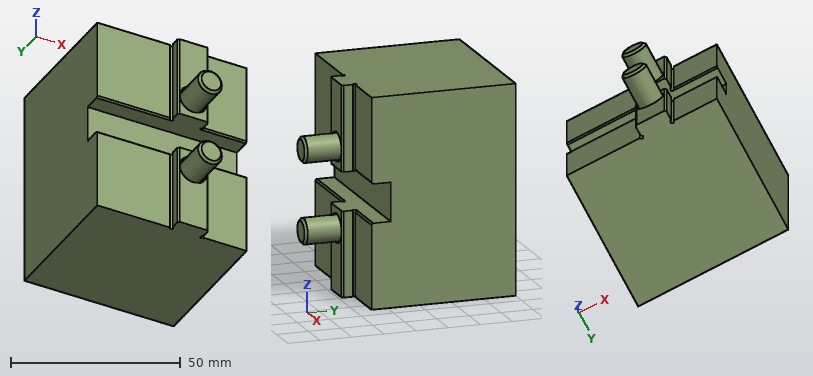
import cadquery as cq

block_width = 50.0
block_height = 65.0
block_depth = 45.0
edge_chamfer = 0.5

key_x = 5.0
key_width = 10.2
key_height = 3.95
groove_radius = 0.5

slot_width = 12.0
slot_depth = 6.0

pin_diameter = 8.0
clearance_diameter = 9.0
pin_spacing = 24.95
pin_protrusion = 11.05
pin_tip_chamfer = 0.8
hole_depth = key_height + slot_depth

key_face_y = -key_height
hole_floor_y = key_face_y + hole_depth
pin_tip_y = key_face_y - pin_protrusion
pin_heights = [-pin_spacing / 2, pin_spacing / 2]


def make_blank():
    """Block with its key, before the slot and pin holes are cut."""
    base = cq.Workplane("XY").box(block_width, block_depth, block_height).translate((0, block_depth / 2, 0))
    key = cq.Workplane("XY").box(key_width, key_height, block_height).edges("|Z and <Y").chamfer(edge_chamfer)
    return base.union(key.translate((key_x, -key_height / 2, 0)))


def make_root_grooves():
    """Cutters for the round grooves along both root corners of the key."""
    corners = [(key_x - key_width / 2, 0), (key_x + key_width / 2, 0)]
    return cq.Workplane("XY").pushPoints(corners).circle(groove_radius).extrude(block_height / 2, both=True)


def make_slot():
    """Cutter for the slot through the key."""
    length = key_height + slot_depth
    center_y = (slot_depth - key_height) / 2
    return cq.Workplane("XY").box(block_width, length, slot_width).translate((0, center_y, 0))


def make_slot_chamfers():
    """Cutters for the slot's chamfered edges on the pads either side of the key."""
    half_slot = slot_width / 2
    bevel = [
        (0, -half_slot - edge_chamfer),
        (edge_chamfer, -half_slot),
        (edge_chamfer, half_slot),
        (0, half_slot + edge_chamfer),
    ]
    left_start = -block_width / 2
    left_length = key_x - key_width / 2 - left_start
    right_start = key_x + key_width / 2
    right_length = block_width / 2 - right_start
    left = cq.Workplane("YZ", origin=(left_start, 0, 0)).polyline(bevel).close().extrude(left_length)
    right = cq.Workplane("YZ", origin=(right_start, 0, 0)).polyline(bevel).close().extrude(right_length)
    return left.union(right)


def make_cylinder(diameter, start_y, end_y, z):
    """Cylinder along -Y from start_y to end_y on a pin axis."""
    base = cq.Workplane("XZ", origin=(key_x, start_y, z))
    return base.circle(diameter / 2).extrude(start_y - end_y)


def make_block():
    """Keyed block with its grooves, slot and pin holes."""
    block = make_blank().cut(make_root_grooves()).cut(make_slot()).cut(make_slot_chamfers())
    for z in pin_heights:
        block = block.cut(make_cylinder(clearance_diameter, hole_floor_y, key_face_y, z))
    return block


def make_pin(z):
    """Pin seated on the hole floor, with a chamfered tip."""
    pin = make_cylinder(pin_diameter, hole_floor_y, pin_tip_y, z)
    return pin.faces("<Y").chamfer(pin_tip_chamfer)


block = make_block()
pins = [make_pin(z) for z in pin_heights]

result = cq.Compound.makeCompound([block.val(), *[pin.val() for pin in pins]])